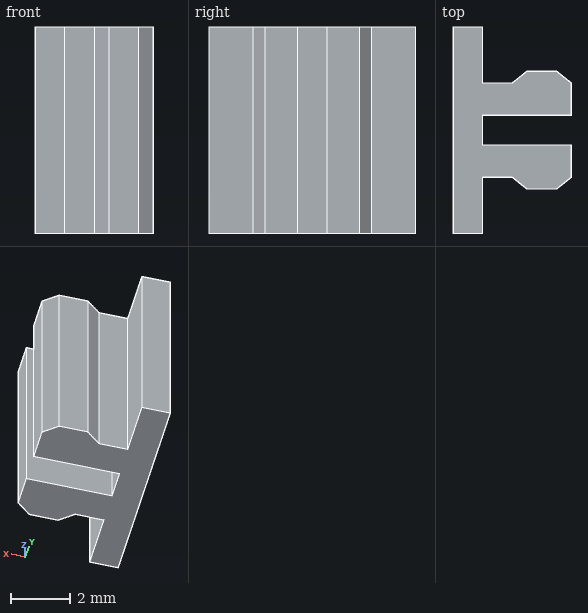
import cadquery as cq

plate_side = 7.0
plate_thickness = 1.0

leg_length = 3.0
leg_gap = 1.0
leg_thickness = 1.1

barb_height = 0.4
barb_ramp = 0.5
barb_flat = 1.0

tip_x = plate_thickness + leg_length
barb_flat_end_x = tip_x - barb_ramp
barb_flat_start_x = barb_flat_end_x - barb_flat
barb_start_x = barb_flat_start_x - barb_ramp

leg_inner_y = leg_gap / 2
leg_outer_y = leg_inner_y + leg_thickness
barb_outer_y = leg_outer_y + barb_height


def make_plate():
    """Plate standing in the YZ plane, centred on Y and Z."""
    plate = cq.Workplane("XY").box(plate_thickness, plate_side, plate_side)
    return plate.translate((plate_thickness / 2, 0, 0))


def make_leg(side):
    """Barbed leg running the full plate height; side is +1 or -1 along Y."""
    outline = [
        (plate_thickness, side * leg_inner_y),
        (tip_x, side * leg_inner_y),
        (tip_x, side * leg_outer_y),
        (barb_flat_end_x, side * barb_outer_y),
        (barb_flat_start_x, side * barb_outer_y),
        (barb_start_x, side * leg_outer_y),
        (plate_thickness, side * leg_outer_y),
    ]
    return cq.Workplane("XY").polyline(outline).close().extrude(plate_side / 2, both=True)


result = make_plate()
for side in (1, -1):
    result = result.union(make_leg(side))